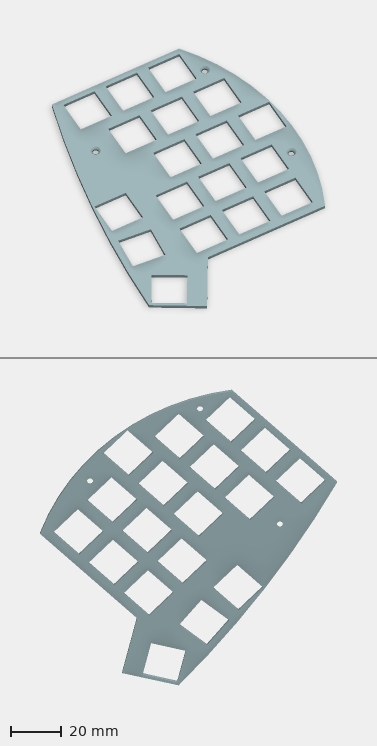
import cadquery as cq

plate_thickness = 1.5
plate_length = 117.7

left_edge_bottom = 15.8
left_edge_top = 73.0
top_arc_mid = (48.0, 92.35)
right_edge_x = 96.55
right_edge_top = 84.55
right_edge_bottom = 31.85
thumb_corner_top = 19.65
thumb_corner_bottom_x = 106.2
bottom_arc_mid = (52.6, 4.6)

key_pitch = 19.05
switch_size = 14.0
rows = 3
first_key_x = 9.4
first_key_y = 26.6
column_steps = [0, 1, 2, 1, 1]
column_stagger = key_pitch / 2
column_x = [first_key_x + column * key_pitch for column in range(len(column_steps))]

thumb_keys = [
    (59.7, 12.45, 0),
    (79.75, 11.55, 5),
    (103.05, 10.85, 30),
]

screw_diameter = 2.4
screw_head_diameter = 4.0
screw_head_angle = 90
screw_points = [
    (column_x[0] + key_pitch / 4, 76.6),
    (column_x[3], 86.15),
    (column_x[1], 19.5),
]


def make_plate():
    return (
        cq.Workplane("XY")
        .moveTo(0, left_edge_bottom)
        .lineTo(0, left_edge_top)
        .threePointArc(top_arc_mid, (right_edge_x, right_edge_top))
        .lineTo(right_edge_x, right_edge_bottom)
        .lineTo(plate_length, thumb_corner_top)
        .lineTo(thumb_corner_bottom_x, 0)
        .threePointArc(bottom_arc_mid, (0, left_edge_bottom))
        .close()
        .extrude(plate_thickness)
    )


def grid_centres():
    centres = []
    for x, step in zip(column_x, column_steps):
        bottom_y = first_key_y + step * column_stagger
        for row in range(rows):
            centres.append((x, bottom_y + row * key_pitch))
    return centres


def cut_grid_keys(plate):
    openings = (
        cq.Workplane("XY")
        .pushPoints(grid_centres())
        .rect(switch_size, switch_size)
        .extrude(plate_thickness)
    )
    return plate.cut(openings)


def cut_thumb_keys(plate):
    for x, y, clockwise_angle in thumb_keys:
        opening = (
            cq.Workplane("XY")
            .transformed(offset=(x, y, 0), rotate=(0, 0, -clockwise_angle))
            .rect(switch_size, switch_size)
            .extrude(plate_thickness)
        )
        plate = plate.cut(opening)
    return plate


def cut_screw_holes(plate):
    return (
        plate.faces(">Z")
        .workplane(origin=(0, 0, plate_thickness))
        .pushPoints(screw_points)
        .cskHole(screw_diameter, screw_head_diameter, screw_head_angle)
    )


plate = make_plate()
plate = cut_grid_keys(plate)
plate = cut_thumb_keys(plate)
result = cut_screw_holes(plate)